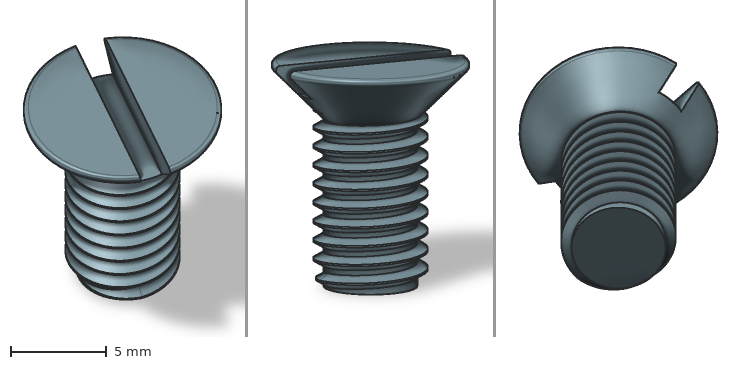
import cadquery as cq
import math

total_length = 12
shank_radius = 2.46

head_radius = 5.178
rim_radius = 0.24
slot_width = 1.65
slot_depth = 1.6

pitch = 1.0
crest_radius = 3.0
root_width = 0.77
crest_width = 0.1
start_width = 0.12
start_height = 0.26
start_angle = -90
thread_turns = 9.4
fade_turns = 0.25
root_overlap = 0.04
points_per_turn = 24


def make_body():
    """Revolve the shank and the 45 degree head with its rounded rim."""
    rim_center_r = head_radius - rim_radius
    rim_center_z = total_length - rim_radius
    diagonal = rim_radius * math.sqrt(0.5)
    cone_top_r = rim_center_r + diagonal
    cone_top_z = rim_center_z - diagonal
    cone_bottom_z = cone_top_z - (cone_top_r - shank_radius)
    return (
        cq.Workplane("XZ")
        .lineTo(shank_radius, 0)
        .lineTo(shank_radius, cone_bottom_z)
        .lineTo(cone_top_r, cone_top_z)
        .threePointArc((head_radius, rim_center_z), (rim_center_r, total_length))
        .lineTo(0, total_length)
        .close()
        .revolve(360, (0, 0), (0, 1))
    )


def thread_corners(turn):
    """Corners of the thread section after a number of turns, growing along the fade."""
    growth = min(turn / fade_turns, 1)
    inner_radius = shank_radius - root_overlap
    outer_radius = shank_radius + growth * (crest_radius - shank_radius)
    half_root = (start_width + growth * (root_width - start_width)) / 2
    half_crest = crest_width / 2
    angle = math.radians(start_angle + 360 * turn)
    height = start_height + pitch * turn
    section = [
        (inner_radius, -half_root),
        (outer_radius, -half_crest),
        (outer_radius, half_crest),
        (inner_radius, half_root),
    ]
    return [
        cq.Vector(radius * math.cos(angle), radius * math.sin(angle), height + offset)
        for radius, offset in section
    ]


def thread_faces(first_turn, last_turn):
    """Four helical faces of the thread between two turn counts."""
    steps = math.ceil((last_turn - first_turn) * points_per_turn)
    turns = [first_turn + (last_turn - first_turn) * i / steps for i in range(steps + 1)]
    paths = zip(*[thread_corners(turn) for turn in turns])
    edges = [cq.Edge.makeSpline(list(path)) for path in paths]
    return [cq.Face.makeRuledSurface(edges[i - 1], edges[i]) for i in range(len(edges))]


def make_thread():
    """Close the fading start and the full-depth thread into one solid."""
    faces = thread_faces(0, fade_turns) + thread_faces(fade_turns, thread_turns)
    for end_turn in (0, thread_turns):
        end_wire = cq.Wire.makePolygon(thread_corners(end_turn), close=True)
        faces.append(cq.Face.makeFromWires(end_wire))
    return cq.Solid.makeSolid(cq.Shell.makeShell(faces))


def make_slot():
    """Driver slot running across the head along X."""
    return (
        cq.Workplane("XY", origin=(0, 0, total_length - slot_depth))
        .rect(2 * head_radius, slot_width)
        .extrude(slot_depth)
    )


result = make_body().union(cq.Workplane(make_thread())).cut(make_slot())